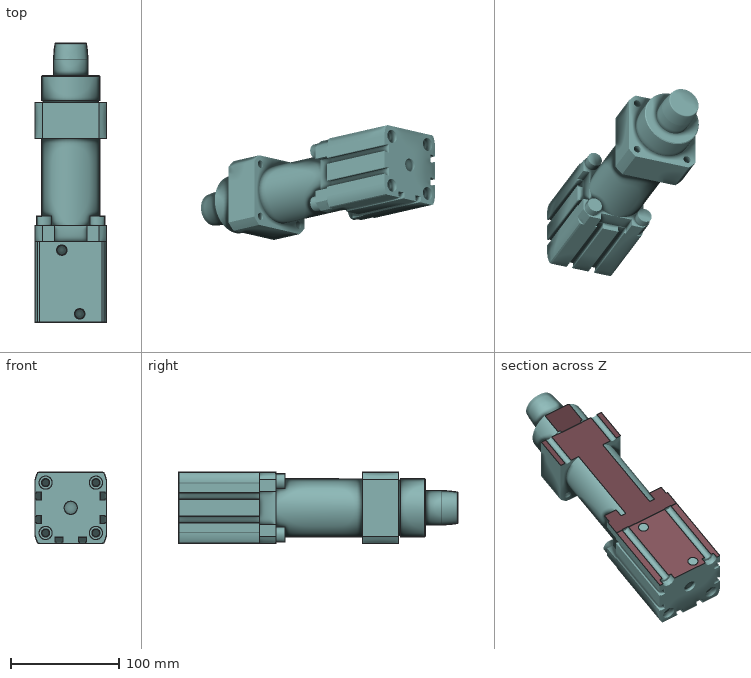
import cadquery as cq
import math

width = 66.0
half = width / 2
overall_length = 258.0

block_end = 74.8
plate_end = 89.8
bolt_head_end = 98.3
head_start = 169.8
head_end = 203.3
collar_start = 204.9
collar_end = 228.0
taper_start = 243.0

side_flat = 23.0
corner_radius = 19.5
bevel_height = 0.5
bevel_width = 1.5
slot_offset = 10.8
slot_mouth = 5.5
slot_mouth_bevel = 0.39
slot_lip = 1.3
slot_pocket = 7.2
slot_depth = 5.7
screw_offset = 23.2
screw_diameter = 6.7
screw_bore = 12.0
screw_bore_depth = 5.7
centre_bore = 12.0
centre_bore_depth = 3.0
port_diameter = 8.8
port_depth = 10.3
mouth_bevel = 0.39
port_places = [(-8.3, 66.8), (8.3, 8.0)]

square_flat = 26.3
tube_radius = 26.8
lug_inner = 15.2
bolt_offset = 24.8
bolt_head_diameter = 13.7
head_hole_diameter = 7.0

neck_radius = 25.8
collar_radius = 26.8
collar_chamfer = 0.8
nose_radius = 16.0
nose_mid_radius = 15.5
tip_radius = 14.5
tip_fillet = 0.8

INWARD = cq.Vector(0, 1, 0)
DOWN = cq.Vector(0, 0, -1)


def cross_section(y):
    """Workplane at station y, with local axes along X and Z."""
    return cq.Workplane("XZ", origin=(0, y, 0))


def prism(outline, length):
    """Extrude a cross-section outline towards +Y."""
    return outline.extrude(-length)


def four_corners(offset):
    return [(sx * offset, sz * offset) for sx in (-1, 1) for sz in (-1, 1)]


def corner_discs(y, offset, diameter, length):
    return prism(cross_section(y).pushPoints(four_corners(offset)).circle(diameter / 2), length)


def block_blank():
    corner_z = half - bevel_height
    rise = corner_z - side_flat

    def inset(z_step):
        """Inward shift of the rounded corner at a height above the side flat."""
        return corner_radius - math.sqrt(corner_radius**2 - z_step**2)

    corner_x = half - inset(rise)
    middle_x = half - inset(rise / 2)
    middle_z = side_flat + rise / 2
    top_x = corner_x - bevel_width
    outline = (
        cross_section(0)
        .moveTo(half, -side_flat)
        .lineTo(half, side_flat)
        .threePointArc((middle_x, middle_z), (corner_x, corner_z))
        .lineTo(top_x, half)
        .lineTo(-top_x, half)
        .lineTo(-corner_x, corner_z)
        .threePointArc((-middle_x, middle_z), (-half, side_flat))
        .lineTo(-half, -side_flat)
        .threePointArc((-middle_x, -middle_z), (-corner_x, -corner_z))
        .lineTo(-top_x, -half)
        .lineTo(top_x, -half)
        .lineTo(corner_x, -corner_z)
        .threePointArc((middle_x, -middle_z), (half, -side_flat))
        .close()
    )
    return prism(outline, block_end)


def sensor_slot(offset, turn):
    """T-slot opening on the bottom face, then turned about the Y axis."""
    mouth_x = slot_mouth / 2
    flare_x = mouth_x + slot_mouth_bevel
    pocket_x = slot_pocket / 2
    outline = (
        cross_section(0)
        .center(offset, -half)
        .polyline([
            (-flare_x, 0),
            (-mouth_x, slot_mouth_bevel),
            (-mouth_x, slot_lip),
            (-pocket_x, slot_lip),
            (-pocket_x, slot_depth),
            (pocket_x, slot_depth),
            (pocket_x, slot_lip),
            (mouth_x, slot_lip),
            (mouth_x, slot_mouth_bevel),
            (flare_x, 0),
        ])
        .close()
    )
    slot = prism(outline, block_end)
    return slot.rotate((0, 0, 0), (0, 1, 0), turn)


def bevel_cone(hole_diameter, mouth, direction):
    """45-degree cone that bevels the mouth of a hole."""
    radius = hole_diameter / 2
    cone = cq.Solid.makeCone(radius + mouth_bevel, radius, mouth_bevel, cq.Vector(mouth), direction)
    return cq.Workplane(cone)


def make_block():
    block = block_blank()
    for turn in (-90, 0, 90):
        for offset in (-slot_offset, slot_offset):
            block = block.cut(sensor_slot(offset, turn))
    block = block.cut(corner_discs(0, screw_offset, screw_diameter, block_end))
    block = block.cut(corner_discs(0, screw_offset, screw_bore, screw_bore_depth))
    block = block.cut(prism(cross_section(0).circle(centre_bore / 2), centre_bore_depth))
    for x, z in four_corners(screw_offset):
        bevel = bevel_cone(screw_diameter, (x, screw_bore_depth, z), INWARD)
        block = block.cut(bevel)
    for x, y in port_places:
        mouth = (x, y, half)
        port = cq.Solid.makeCylinder(port_diameter / 2, port_depth, cq.Vector(mouth), DOWN)
        block = block.cut(cq.Workplane(port)).cut(bevel_cone(port_diameter, mouth, DOWN))
    return block


def rounded_square(y, length):
    """Square whose corners lie on a circle about the axis."""
    corner_circle = math.hypot(half, square_flat)
    square = prism(cross_section(y).rect(width, width), length)
    return square.intersect(prism(cross_section(y).circle(corner_circle), length))


def rear_plate():
    """Plate relieved to the tube's width between its four corner lugs."""
    length = plate_end - block_end
    plate = rounded_square(block_end, length)
    relief_depth = half - tube_radius
    relief_centre = half - relief_depth / 2
    for side in (-1, 1):
        across_x = cross_section(block_end).center(side * relief_centre, 0).rect(relief_depth, 2 * lug_inner)
        across_z = cross_section(block_end).center(0, side * relief_centre).rect(2 * lug_inner, relief_depth)
        plate = plate.cut(prism(across_x, length)).cut(prism(across_z, length))
    return plate


def make_housing():
    tube = prism(cross_section(plate_end).circle(tube_radius), head_start - plate_end)
    bolt_heads = corner_discs(plate_end, bolt_offset, bolt_head_diameter, bolt_head_end - plate_end)
    head_length = head_end - head_start
    head = rounded_square(head_start, head_length)
    head = head.cut(corner_discs(head_start, bolt_offset, head_hole_diameter, head_length))
    return rear_plate().union(tube).union(bolt_heads).union(head)


def make_spindle():
    spindle = (
        cq.Workplane("YZ")
        .moveTo(head_end, 0)
        .lineTo(head_end, neck_radius)
        .lineTo(collar_start, neck_radius)
        .lineTo(collar_start, collar_radius)
        .lineTo(collar_end - collar_chamfer, collar_radius)
        .lineTo(collar_end, collar_radius - collar_chamfer)
        .lineTo(collar_end, nose_radius)
        .lineTo(taper_start, nose_radius)
        .threePointArc(
            ((taper_start + overall_length) / 2, nose_mid_radius),
            (overall_length, tip_radius),
        )
        .lineTo(overall_length, 0)
        .close()
        .revolve(360, (0, 0, 0), (1, 0, 0))
    )
    return spindle.faces(">Y").edges().fillet(tip_fillet)


block = make_block()
housing = make_housing()
spindle = make_spindle()

result = cq.Compound.makeCompound([block.val(), housing.val(), spindle.val()])